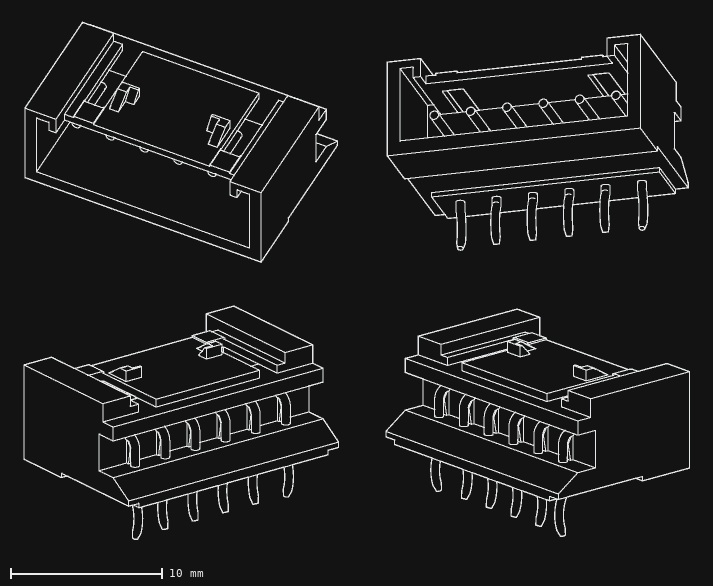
import cadquery as cq
import math


width = 17.4
depth = 11.5
height = 6.72
roof_depth = 8.67
ledge_depth = 9.8
back_wall_y = 8.25

foot_height = 0.31
slope_bottom = 0.7
base_top = 1.81
shelf_bottom = 4.42
shelf_top = 5.41
panel_top = 5.97

front_foot_depth = 4.12
rear_foot_start = 7.62
rear_foot_inset = 0.87

side_wall = 0.87
floor_thickness = 0.97
roof_thickness = 0.55
cavity_depth = 6.63
lip_inner_x = 6.93
lip_outer_x = 6.4

panel_front = 1.29
slot_inner_x = 4.28
slot_outer_x = 5.75
slot_front = 2.82
slot_corner_radius = 0.12
bridge_top = 6.09

latch_outer_x = 3.97
latch_split_x = 3.3
latch_inner_x = 2.68
latch_back = 4.96
outer_ramp_crest = 4.28
outer_ramp_toe = 3.05
inner_ramp_crest = 4.78
inner_ramp_toe = 4.09

pin_count = 6
pin_row_span = 12.5
pin_pitch = pin_row_span / (pin_count - 1)
pin_diameter = 0.6
pin_radius = pin_diameter / 2
pin_front = 2.7
pin_z = 3.7
bend_radius = 0.71
leg_y = back_wall_y + bend_radius
leg_bottom = -0.49
kink_half_span = 1.4
kink_offset = 0.35
kink_end_drop = 2.38
tip_end_radius = 0.2
pin_bottom = -3.38

support_width = 0.35
support_base_y = 8.45
support_top_y = leg_y - pin_radius
support_top = pin_z - bend_radius


def box(x0, x1, y0, y1, z0, z1):
    """Box spanning the given limits."""
    return cq.Workplane("XY").box(x1 - x0, y1 - y0, z1 - z0, centered=False).translate((x0, y0, z0))


def side_prism(points, x0, x1):
    """Extrude a (Y, Z) outline from x0 to x1."""
    return cq.Workplane("YZ").polyline(points).close().extrude(x1 - x0).translate((x0, 0, 0))


def both_sides(solid):
    """Join a solid with its mirror image across the middle of the pin row."""
    return solid.union(solid.mirror("YZ"))


def make_shell():
    """Solid housing block with its feet, rear shelf and sloped base."""
    outline = [
        (0, 0),
        (front_foot_depth, 0),
        (front_foot_depth, foot_height),
        (depth, foot_height),
        (depth, slope_bottom),
        (ledge_depth, base_top),
        (back_wall_y, base_top),
        (back_wall_y, shelf_bottom),
        (ledge_depth, shelf_bottom),
        (ledge_depth, shelf_top),
        (roof_depth, shelf_top),
        (roof_depth, height),
        (0, height),
    ]
    foot_x = width / 2 - rear_foot_inset
    rear_foot = box(-foot_x, foot_x, rear_foot_start, depth, 0, foot_height)
    return side_prism(outline, -width / 2, width / 2).union(rear_foot)


def cut_cavity(body):
    """Hollow the mating cavity, leaving a hanging lip along each roof edge."""
    inner_x = width / 2 - side_wall
    cavity = box(-inner_x, inner_x, 0, cavity_depth, floor_thickness, shelf_top)
    roof_groove = box(lip_inner_x, inner_x, 0, cavity_depth, shelf_top, height - roof_thickness)
    return body.cut(cavity).cut(both_sides(roof_groove))


def shape_roof(body):
    """Lower the panel between the lips, open its two slots and bridge their fronts."""
    above_panel = box(-lip_outer_x, lip_outer_x, 0, roof_depth, panel_top, height)
    mouth_notch = box(-lip_outer_x, lip_outer_x, 0, panel_front, shelf_top, height)
    slot = box(slot_inner_x, slot_outer_x, slot_front, roof_depth, shelf_top, height)
    slot = slot.edges("|Z and <Y").fillet(slot_corner_radius)
    bridge_back = slot_front + slot_corner_radius
    bridge = box(slot_inner_x, slot_outer_x, panel_front, bridge_back, shelf_top, bridge_top)
    body = body.cut(above_panel).cut(mouth_notch)
    return body.union(both_sides(bridge)).cut(both_sides(slot))


def make_latches():
    """Pair of stepped latch ramps standing on the roof panel."""
    def ramp(crest, toe, x0, x1):
        outline = [(toe, panel_top), (latch_back, panel_top), (latch_back, height), (crest, height)]
        return side_prism(outline, x0, x1)

    outer = ramp(outer_ramp_crest, outer_ramp_toe, latch_split_x, latch_outer_x)
    inner = ramp(inner_ramp_crest, inner_ramp_toe, latch_inner_x, latch_split_x)
    return both_sides(outer.union(inner))


def make_pin(side):
    """Pin at X = 0 whose leg kinks toward +Y (side = 1) or -Y (side = -1)."""
    path = (
        cq.Workplane("YZ")
        .moveTo(pin_front, pin_z)
        .lineTo(back_wall_y, pin_z)
        .radiusArc((leg_y, pin_z - bend_radius), bend_radius)
        .lineTo(leg_y, leg_bottom)
    )
    bent_wire = cq.Workplane("XZ", origin=(0, pin_front, pin_z)).circle(pin_radius).sweep(path)

    kink_radius = (kink_half_span**2 + kink_offset**2) / (2 * kink_offset)
    center_y = leg_y + side * (kink_offset - kink_radius)
    center_z = leg_bottom - kink_half_span
    start_angle = math.asin(kink_half_span / kink_radius)
    end_angle = math.asin((kink_half_span - kink_end_drop) / kink_radius)

    def arc_point(angle):
        return center_y + side * kink_radius * math.cos(angle), center_z + kink_radius * math.sin(angle)

    def leg_plane(angle):
        direction = (0, side * math.sin(angle), -math.cos(angle))
        return cq.Plane(origin=(0, *arc_point(angle)), xDir=(1, 0, 0), normal=direction)

    kink_path = cq.Workplane("YZ").moveTo(*arc_point(start_angle))
    kink_path = kink_path.threePointArc(arc_point(0), arc_point(end_angle))
    kink = cq.Workplane(leg_plane(start_angle)).circle(pin_radius).sweep(kink_path)
    knee = cq.Workplane("XY").sphere(pin_radius).translate((0, leg_y, leg_bottom))

    tip_drop = arc_point(end_angle)[1] - pin_bottom
    tip_length = (tip_drop - tip_end_radius * abs(math.sin(end_angle))) / math.cos(end_angle)
    tip = (
        cq.Workplane(leg_plane(end_angle))
        .circle(pin_radius)
        .workplane(offset=tip_length)
        .circle(tip_end_radius)
        .loft()
    )
    return bent_wire.union(knee).union(kink).union(tip)


def make_support():
    """Tapered rib at X = 0 that fills the space under a pin bend."""
    outline = [
        (back_wall_y, base_top),
        (support_base_y, base_top),
        (support_top_y, support_top),
        (back_wall_y, pin_z),
    ]
    return side_prism(outline, -support_width / 2, support_width / 2)


result = shape_roof(cut_cavity(make_shell())).union(make_latches())

for index in range(pin_count):
    pin_x = index * pin_pitch - pin_row_span / 2
    is_end_pin = index in (0, pin_count - 1)
    pin = make_pin(1 if is_end_pin else -1)
    result = result.union(make_support().union(pin).translate((pin_x, 0, 0)))